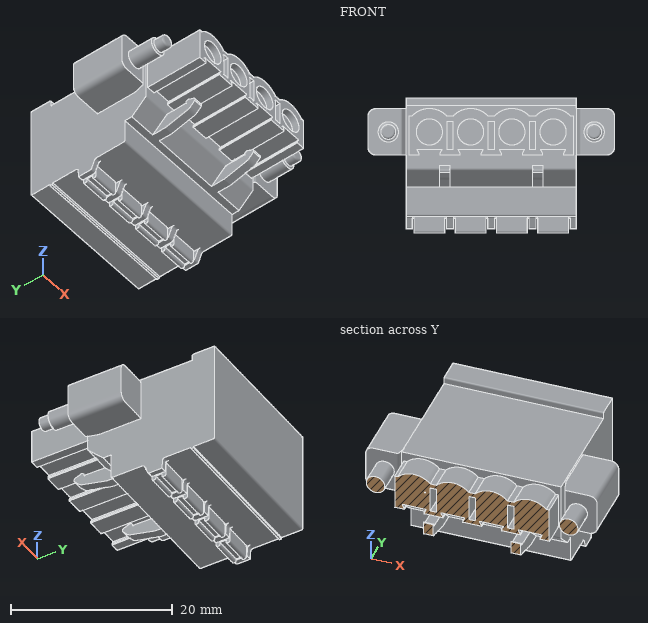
import cadquery as cq


pole_count = 4
pitch = 5.1
contact_z = 10.45
pole_xs = [(i - (pole_count - 1) / 2) * pitch for i in range(pole_count)]
gap_xs = [(i - pole_count / 2) * pitch for i in range(pole_count + 1)]
inner_gap_xs = gap_xs[1:-1]

housing_width = 21.0
housing_back = 18.32
housing_top = 13.75
ridge_top = 14.65
ridge_front = 15.1
lower_front = 3.35
step_z = 3.63
slope_back = 2.25
slope_top = 5.8
edge_radius = 0.25
slope_radius = 0.4

bead_back = 15.27
bead_flat_front = 14.97
bead_front = 14.8
bead_height = 0.2

nose_length = 8.3
nose_width = pole_count * pitch
nose_bottom = 7.6
shoulder_z = 12.45
crown_z = 13.35
crown_width = 4.27
socket_radius = 1.62
socket_depth = 1.0
slot_width = 0.8
slot_bottom = 8.3
slot_top = 11.75

key_mouth = 2.6
key_root = 3.1
key_lip = 0.2
key_top = slot_bottom

overall_width = 30.48
flange_back = 7.7
flange_top = crown_z
flange_radius = 1.0
relief_width = 0.45
relief_length = 1.68
relief_radius = 0.3
screw_x = 12.7
screw_radius = 1.25
screw_length = 3.65
screw_tip_y = 5.27
shoulder_cone = 0.12
tip_radius = 0.9
tip_rounding = 0.27

arm_x = 5.75
arm_width = 1.3
arm_bend_y = 0.27
chin_start = (-3.23, 4.48)
chin_middle = (-3.55, 4.6)
chin_end = (-3.78, 4.8)
tip_start = (-4.42, 5.45)
tip_middle = (-4.45, 5.7)
tip_end = (-4.27, 5.95)
catch_start = (-3.63, 6.2)
catch_crest = (-3.35, 6.28)
catch_end = (-3.02, 5.85)

rib_width = 0.9
rib_height = 1.52
rib_top_back = 10.82
rib_bottom_back = 10.73
rib_bottom_front = 8.72
rib_top_front = 8.1
rib_root_radius = 0.37
rib_edge_radius = 0.27
foot_width = 3.85
foot_height = 2.05
foot_groove_back = 10.12
foot_groove_front = 9.27
foot_rounding = 0.25


def box(x0, x1, y0, y1, z0, z1):
    """Box between two opposite corners."""
    return cq.Workplane("XY").box(x1 - x0, y1 - y0, z1 - z0, centered=False).translate((x0, y0, z0))


def side_plane(x, width):
    """YZ sketch plane at the low-X face of a slab centred on x."""
    return cq.Workplane("YZ", origin=(x - width / 2, 0, 0))


def front_plane(y):
    """Sketch plane at the given Y, with local axes X and Z and its normal along -Y."""
    return cq.Workplane("XZ", origin=(0, y, 0))


def make_housing():
    points = [
        (housing_back, 0),
        (housing_back, ridge_top),
        (ridge_front, ridge_top),
        (ridge_front, housing_top),
        (0, housing_top),
        (0, slope_top),
        (slope_back, step_z),
        (lower_front, step_z),
        (lower_front, 0),
    ]
    housing = side_plane(0, housing_width).polyline(points).close().extrude(housing_width)
    rounded_edges = [
        (0, housing_back, 0),
        (0, ridge_front, ridge_top),
        (0, lower_front, 0),
    ]
    for point in rounded_edges:
        housing = housing.edges(cq.selectors.NearestToPointSelector(point)).fillet(edge_radius)
    slope_edge = cq.selectors.NearestToPointSelector((0, 0, slope_top))
    return housing.edges(slope_edge).fillet(slope_radius)


def make_bead():
    points = [
        (bead_back, 0),
        (bead_back, -bead_height),
        (bead_flat_front, -bead_height),
        (bead_front, 0),
    ]
    return side_plane(0, housing_width).polyline(points).close().extrude(housing_width)


def make_nose():
    """Plug nose with a cylindrical crown, a socket and a keyway at each contact."""
    outline = (front_plane(0)
               .moveTo(-nose_width / 2, nose_bottom)
               .lineTo(-nose_width / 2, shoulder_z))
    for x in pole_xs:
        outline = (outline.lineTo(x - crown_width / 2, shoulder_z)
                   .threePointArc((x, crown_z), (x + crown_width / 2, shoulder_z)))
    outline = outline.lineTo(nose_width / 2, shoulder_z).lineTo(nose_width / 2, nose_bottom)
    nose = outline.close().extrude(nose_length)

    sockets = (front_plane(socket_depth - nose_length)
               .pushPoints([(x, contact_z) for x in pole_xs])
               .circle(socket_radius).extrude(socket_depth))
    nose = nose.cut(sockets)
    for x in inner_gap_xs:
        nose = nose.cut(box(x - slot_width / 2, x + slot_width / 2, -nose_length, 0, slot_bottom, slot_top))
    for x in pole_xs:
        nose = nose.cut(make_keyway(x))
    return nose


def make_keyway(x):
    lip_z = nose_bottom + key_lip
    points = [
        (x - key_mouth / 2, nose_bottom),
        (x - key_mouth / 2, lip_z),
        (x - key_root / 2, key_top),
        (x + key_root / 2, key_top),
        (x + key_mouth / 2, lip_z),
        (x + key_mouth / 2, nose_bottom),
    ]
    return front_plane(0).polyline(points).close().extrude(nose_length)


def make_left_flange():
    outer_x = -overall_width / 2
    inner_x = -housing_width / 2
    flange = box(outer_x, inner_x, 0, flange_back, nose_bottom, flange_top)
    flange = flange.edges("|Y and <X").fillet(flange_radius)
    relief = (cq.Workplane("XY", origin=(0, 0, nose_bottom))
              .moveTo(inner_x, relief_length)
              .lineTo(inner_x - relief_width, 0)
              .lineTo(inner_x, 0)
              .close().extrude(flange_top - nose_bottom))
    flange = flange.cut(relief)
    relief_corner = cq.selectors.NearestToPointSelector((inner_x - relief_width, 0, contact_z))
    return flange.edges(relief_corner).fillet(relief_radius)


def make_left_screw():
    shaft_end = -screw_length
    tip_end = -screw_tip_y
    screw = (cq.Workplane("XY")
             .lineTo(screw_radius, 0)
             .lineTo(screw_radius, shaft_end)
             .lineTo(tip_radius, shaft_end - shoulder_cone)
             .lineTo(tip_radius, tip_end)
             .lineTo(0, tip_end)
             .close().revolve(360, (0, 0, 0), (0, 1, 0)))
    screw = screw.faces("<Y").edges().fillet(tip_rounding)
    return screw.translate((-screw_x, 0, contact_z))


def make_latch_arm(x):
    """Arm growing out of the housing slope, with a rounded catch at its tip."""
    return (side_plane(x, arm_width)
            .moveTo(slope_back, step_z)
            .lineTo(arm_bend_y, step_z)
            .lineTo(*chin_start)
            .threePointArc(chin_middle, chin_end)
            .lineTo(*tip_start)
            .threePointArc(tip_middle, tip_end)
            .lineTo(*catch_start)
            .threePointArc(catch_crest, catch_end)
            .lineTo(0, slope_top)
            .lineTo(slope_back, slope_top)
            .close().extrude(arm_width))


def make_rib(x):
    """Tapered rib between two feet, trimmed to the width of the housing."""
    x0 = max(x - rib_width / 2, -housing_width / 2)
    x1 = min(x + rib_width / 2, housing_width / 2)
    middle = (x0 + x1) / 2
    root_back = rib_top_back + 2 * rib_root_radius
    root_front = rib_top_front - 2 * rib_root_radius
    points = [
        (root_back, rib_root_radius),
        (root_back, 0),
        (rib_top_back, 0),
        (rib_bottom_back, -rib_height),
        (rib_bottom_front, -rib_height),
        (rib_top_front, 0),
        (root_front, 0),
        (root_front, rib_root_radius),
    ]
    rib = side_plane(middle, x1 - x0).polyline(points).close().extrude(x1 - x0)
    bottom_edge = cq.selectors.NearestToPointSelector((middle, rib_bottom_front, -rib_height))
    rib = rib.edges(bottom_edge).fillet(rib_edge_radius)
    for root_y in (rib_top_front, rib_top_back):
        rib = rib.edges(cq.selectors.NearestToPointSelector((middle, root_y, 0))).fillet(rib_root_radius)
    return rib


def make_foot(x):
    """Wide foot ending in two rounded toes with a groove between them."""
    x0 = x - foot_width / 2
    x1 = x + foot_width / 2
    foot = box(x0, x1, rib_bottom_front, rib_bottom_back, -foot_height, 0)
    foot = foot.cut(box(x0, x1, foot_groove_front, foot_groove_back, -foot_height, -rib_height))
    return foot.faces("<Z").edges("|X").fillet(foot_rounding)


left_fixing = make_left_flange().union(make_left_screw())

result = make_housing().union(make_bead()).union(make_nose())
result = result.union(left_fixing).union(left_fixing.mirror("YZ"))
for arm_side in (-1, 1):
    result = result.union(make_latch_arm(arm_side * arm_x))
for rib_x in gap_xs:
    result = result.union(make_rib(rib_x))
for foot_x in pole_xs:
    result = result.union(make_foot(foot_x))